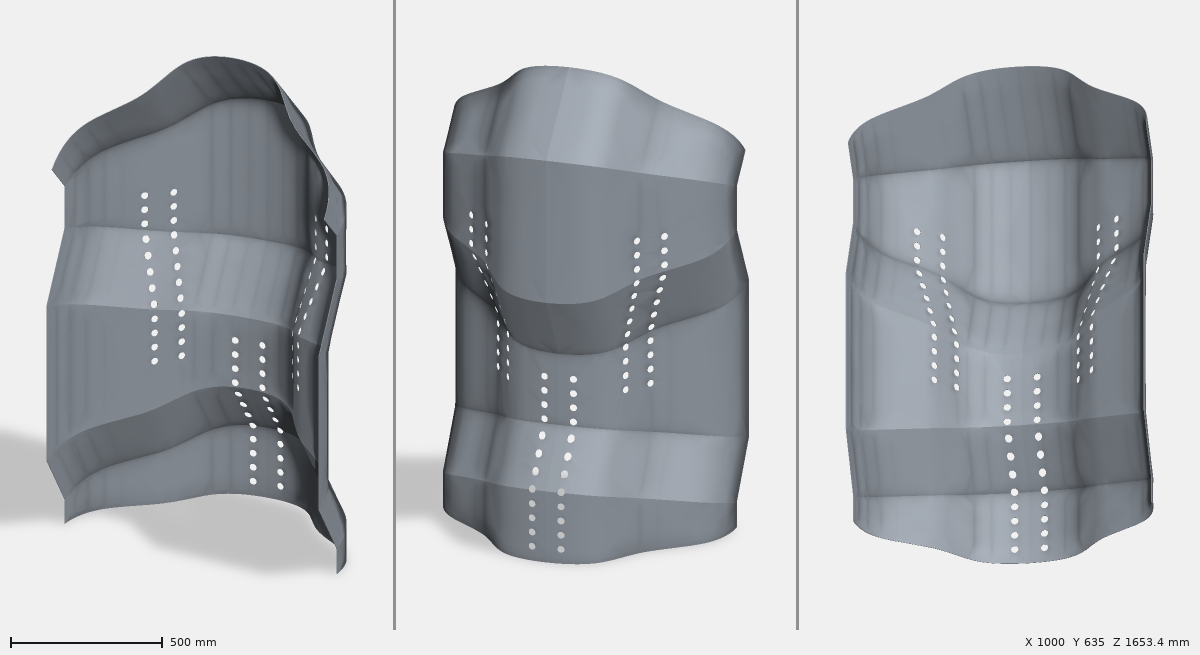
import cadquery as cq
import math


half_width = 500.0
depth = 500.0
thickness = 2.0
profile_knots = [(157.0, -41.0), (268.0, -177.0), (461.0, -352.0)]
offset_stations = 12

clearance = 2 * depth

waist_setback = 135.0
foot_height = 250.0
foot_to_waist_rise = 186.0
waist_height = 250.0
waist_to_chest_rise = 227.0
chest_height = 500.0
head_length = 346.0
head_lean = 46.0

hole_diameter = 24.0
hole_pitch = 50.0
holes_per_column = 12
column_spacing = 100.0
front_first_height = 50.0
side_first_height = 550.0
side_hole_angle = 45.0
side_hole_offset = half_width * math.cos(math.radians(side_hole_angle))


def spine_points():
    """Corners of the spine in the YZ plane."""
    waist_bottom = foot_height + foot_to_waist_rise
    waist_top = waist_bottom + waist_height
    chest_bottom = waist_top + waist_to_chest_rise
    chest_top = chest_bottom + chest_height
    lean = math.radians(head_lean)
    corners = [
        (0, 0),
        (0, foot_height),
        (-waist_setback, waist_bottom),
        (-waist_setback, waist_top),
        (0, chest_bottom),
        (0, chest_top),
        (-head_length * math.sin(lean), chest_top + head_length * math.cos(lean)),
    ]
    return [cq.Vector(0, y, z) for y, z in corners]


def skin_edges(side):
    """Outer and inner curve from the crown to one side edge; side is +1 or -1."""
    end_tangents = [cq.Vector(side, 0, 0), cq.Vector(0, -1, 0)]
    knots = [(0, 0)] + profile_knots + [(half_width, -depth)]
    outer_points = [cq.Vector(side * x, y, 0) for x, y in knots]
    outer = cq.Edge.makeSpline(outer_points, tangents=end_tangents, scale=False)

    inner_points = []
    for station in range(offset_stations + 1):
        position = station / offset_stations
        tangent = outer.tangentAt(position)
        inward = cq.Vector(tangent.y, -tangent.x, 0) * side
        inner_points.append(outer.positionAt(position) + inward * thickness)
    inner = cq.Edge.makeSpline(inner_points, tangents=end_tangents, scale=False)
    return outer, inner


def sheet_profile():
    """Closed cross-section of the sheet, with the crown of the outer skin at the origin."""
    edges = []
    for side in (1, -1):
        outer, inner = skin_edges(side)
        edges += [outer, inner, cq.Edge.makeLine(outer.endPoint(), inner.endPoint())]
    return cq.Face.makeFromWires(cq.Wire.assembleEdges(edges))


def run_directions(corners):
    """Unit direction of each straight run of the spine."""
    return [(end - start).normalized() for start, end in zip(corners, corners[1:])]


def mitre_ends(corners, directions):
    """For each spine corner, the two ends of the mitre cut: just past the crown and the side edges."""
    before = directions[:1] + directions
    after = directions + directions[-1:]
    across = cq.Vector(1, 0, 0)
    ends = []
    for corner, arriving, leaving in zip(corners, before, after):
        cut = (arriving + leaving).normalized().cross(across)
        ends.append((corner + cut * thickness, corner - cut * clearance))
    return ends


def straight_run(profile, start, direction, length, start_cut, end_cut):
    """One straight run of the sheet, trimmed at both ends by the mitre cuts."""
    below = start - direction * clearance
    section = cq.Plane(origin=below.toTuple(), xDir=(1, 0, 0), normal=direction.toTuple())
    placed_profile = profile.moved(cq.Location(section))
    prism = cq.Solid.extrudeLinear(placed_profile, direction * (length + 2 * clearance))
    outline = [start_cut[0], start_cut[1], end_cut[1], end_cut[0]]
    trim = cq.Workplane("YZ").polyline([(p.y, p.z) for p in outline]).close()
    return trim.extrude(clearance, both=True).intersect(cq.Workplane(prism))


def bent_sheet():
    """All the runs joined into one sheet."""
    corners = spine_points()
    directions = run_directions(corners)
    cuts = mitre_ends(corners, directions)
    profile = sheet_profile()
    sheet = cq.Workplane()
    for index, direction in enumerate(directions):
        start = corners[index]
        length = (corners[index + 1] - start).Length
        run = straight_run(profile, start, direction, length, cuts[index], cuts[index + 1])
        sheet = sheet.add(run)
    return sheet.combine()


def hole_drills(centre, angle, first_height):
    """Two columns of level drills pointing to +Y, centred sideways, then turned by angle about Z."""
    places = [
        (centre + column * column_spacing / 2, first_height + row * hole_pitch)
        for column in (-1, 1)
        for row in range(holes_per_column)
    ]
    circles = cq.Workplane("XZ").pushPoints(places).circle(hole_diameter / 2)
    drills = circles.extrude(clearance, both=True)
    return drills.rotate((0, 0, 0), (0, 0, 1), angle)


sheet = bent_sheet()
sheet = sheet.cut(hole_drills(0, 0, front_first_height))
for side in (1, -1):
    sheet = sheet.cut(hole_drills(side * side_hole_offset, -side * side_hole_angle, side_first_height))
result = sheet